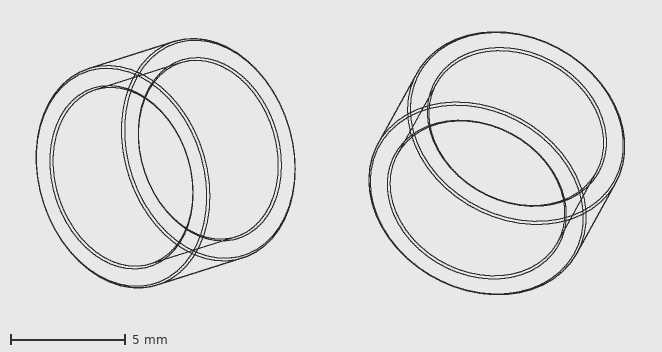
import cadquery as cq

outer_diameter = 9.95
bore_diameter = 8.0
length = 6.0
edge_chamfer = 0.1

ring = (
    cq.Workplane("XZ", origin=(0, length / 2, 0))
    .circle(outer_diameter / 2)
    .circle(bore_diameter / 2)
    .extrude(length)
)

result = ring.faces("<Y or >Y").edges().chamfer(edge_chamfer)